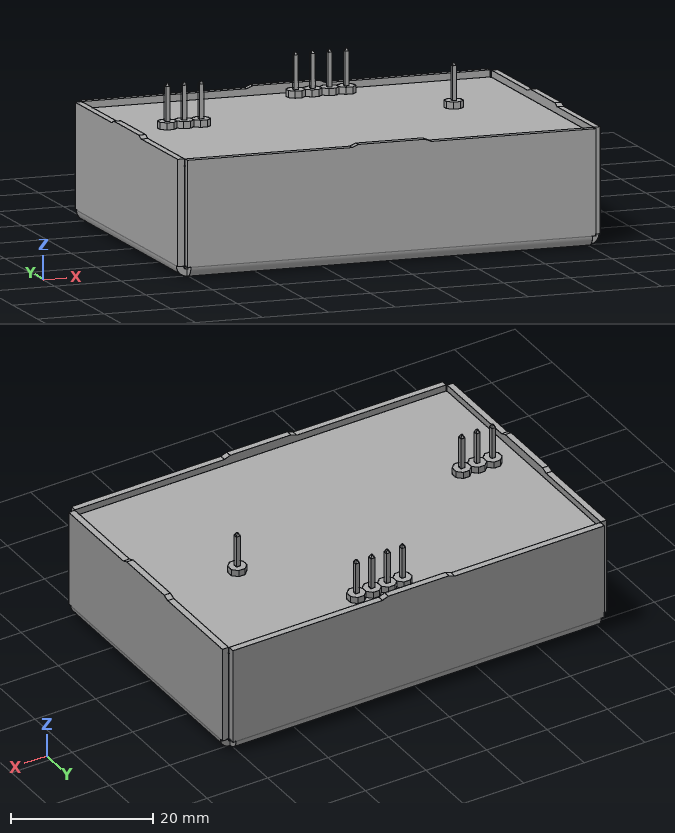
import cadquery as cq
import math

length = 63.5
width = 43.5
sheet = 1.0
bend_radius_in = 0.6
bend_radius_out = bend_radius_in + sheet
rim_height = 17.0
wall_gap = 0.05

tab_height = 0.4
tab_base = 11.95
tab_top = 10.05

potting_top = 16.0

collar_sides = 8
pin_pitch = 2.55
pin_size = 0.65
tip_size = 0.2
tip_height = 0.45
collar_flats = pin_pitch
collar_height = 1.0
pin_above_collar = 5.45

rear_row_count = 4
rear_row_x = 0.4
rear_row_y = 18.05
raised_row_count = 3
raised_row_x = -25.7
raised_row_y = -0.25
raised_row_gap = 1.0
single_pin_x = 18.7
single_pin_y = 3.35

inner_length = length - 2 * sheet
inner_width = width - 2 * sheet


def folded_wall(span, half_depth, wall_length):
    """Wall along X with its bend, standing at Y = -half_depth; span is the flat floor length."""
    outer_y = -half_depth
    inner_y = outer_y + sheet
    floor_y = outer_y + bend_radius_out
    diagonal = math.sqrt(0.5)
    bend = (
        cq.Workplane("YZ")
        .moveTo(floor_y, 0)
        .threePointArc(
            (floor_y - bend_radius_out * diagonal, bend_radius_out * (1 - diagonal)),
            (outer_y, bend_radius_out),
        )
        .lineTo(inner_y, bend_radius_out)
        .threePointArc(
            (floor_y - bend_radius_in * diagonal, bend_radius_out - bend_radius_in * diagonal),
            (floor_y, sheet),
        )
        .close()
        .extrude(span / 2, both=True)
    )
    panel = (
        cq.Workplane("XZ", origin=(0, inner_y, 0))
        .polyline(
            [
                (-wall_length / 2, bend_radius_out),
                (wall_length / 2, bend_radius_out),
                (wall_length / 2, rim_height),
                (tab_base / 2, rim_height),
                (tab_top / 2, rim_height + tab_height),
                (-tab_top / 2, rim_height + tab_height),
                (-tab_base / 2, rim_height),
                (-wall_length / 2, rim_height),
            ]
        )
        .close()
        .extrude(sheet)
    )
    return bend.union(panel)


def make_case():
    """Open tray folded from one sheet, with open corners."""
    floor_length = length - 2 * bend_radius_out
    floor_width = width - 2 * bend_radius_out
    case = cq.Workplane("XY").box(floor_length, floor_width, sheet, centered=(True, True, False))
    long_wall = folded_wall(floor_length, width / 2, inner_length - 2 * wall_gap)
    short_wall = folded_wall(floor_width, length / 2, inner_width - 2 * wall_gap)
    z_axis = ((0, 0, 0), (0, 0, 1))
    for turn in (0, 180):
        case = case.union(long_wall.rotate(*z_axis, turn))
        case = case.union(short_wall.rotate(*z_axis, turn + 90))
    return case


def make_potting():
    """Block that fills the tray, rounded below to follow the bends."""
    return (
        cq.Workplane("XY", origin=(0, 0, sheet))
        .box(inner_length, inner_width, potting_top - sheet, centered=(True, True, False))
        .faces("<Z")
        .edges()
        .fillet(bend_radius_in)
    )


def make_pin(x, y, base):
    """Square pin with a tapered tip, standing on an octagonal collar."""
    shoulder = base + collar_height + pin_above_collar - tip_height
    collar = (
        cq.Workplane("XY", origin=(x, y, base))
        .polygon(collar_sides, collar_flats, circumscribed=True)
        .extrude(collar_height)
    )
    shank = (
        cq.Workplane("XY", origin=(x, y, base))
        .rect(pin_size, pin_size)
        .extrude(shoulder - base)
    )
    tip = (
        cq.Workplane("XY", origin=(x, y, shoulder))
        .rect(pin_size, pin_size)
        .workplane(offset=tip_height)
        .rect(tip_size, tip_size)
        .loft(ruled=True)
    )
    return collar.union(shank).union(tip)


def make_row(count, first_x, y, base):
    """Row of pins along X whose collars touch side by side."""
    return [make_pin(first_x + i * pin_pitch, y, base) for i in range(count)]


case = make_case()
potting = make_potting()
pins = [
    *make_row(rear_row_count, rear_row_x, rear_row_y, potting_top),
    *make_row(raised_row_count, raised_row_x, raised_row_y, potting_top + raised_row_gap),
    make_pin(single_pin_x, single_pin_y, potting_top),
]

result = cq.Compound.makeCompound([case.val(), potting.val(), *[pin.val() for pin in pins]])